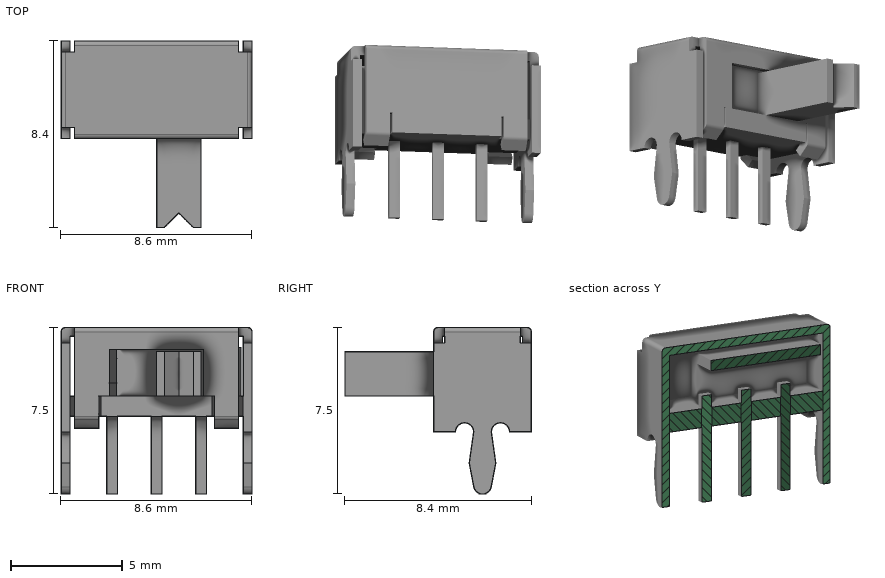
import cadquery as cq
import math


COVER_LENGTH = 8.6
COVER_WIDTH = 4.4
SHEET = 0.4
BEND_RADIUS = 0.2
CORNER_NOTCH_X = 0.6
CORNER_NOTCH_Y = 0.5
SHOULDER_DEPTH = 0.7
LONG_WALL_DEPTH = 4.0
END_WALL_DEPTH = 4.7
FLOOR_DEPTH = 3.1
WINDOW_LENGTH = 4.24
WINDOW_TOP_DEPTH = 1.0
BASE_NOTCH_LENGTH = 5.2

TAB_ANGLE = math.radians(48)
TAB_DEPTH = 4.54

TOTAL_HEIGHT = 7.5
LEG_RELIEF_RADIUS = 0.4
LEG_NECK_WIDTH = 2 * LEG_RELIEF_RADIUS
LEG_BULGE_WIDTH = 1.2
LEG_BULGE_DEPTH = 6.11
LEG_TIP_RADIUS = 0.4

BASE_TONGUE_LENGTH = 5.0
SIDE_CLEARANCE = 0.1

TERMINAL_COUNT = 3
TERMINAL_PITCH = 2.0
TERMINAL_WIDTH = 0.5
TERMINAL_THICKNESS = 0.3
TERMINAL_TOP_DEPTH = 2.5

SLIDER_X = TERMINAL_PITCH / 2
SLIDER_LENGTH = 5.6
SLIDER_TOP_DEPTH = 0.9
SLIDER_WALL = 0.5
KNOB_WIDTH = 2.0
KNOB_HEIGHT = 2.0
KNOB_REACH = 4.0
KNOB_V_SIZE = 0.65

HALF_LENGTH = COVER_LENGTH / 2
HALF_WIDTH = COVER_WIDTH / 2
INNER_LENGTH = COVER_LENGTH - 2 * SHEET
INNER_WIDTH = COVER_WIDTH - 2 * SHEET
LONG_WALL_LENGTH = COVER_LENGTH - 2 * CORNER_NOTCH_X
INSERT_WIDTH = INNER_WIDTH - 2 * SIDE_CLEARANCE
TAB_LENGTH = (LONG_WALL_LENGTH - BASE_NOTCH_LENGTH) / 2


def block(length, width, top_depth, bottom_depth, x=0.0, y=0.0):
    """Box centred on (x, y), between two depths below the top of the cover."""
    height = bottom_depth - top_depth
    return (
        cq.Workplane("XY")
        .box(length, width, height, centered=(True, True, False))
        .translate((x, y, -bottom_depth))
    )


def long_walls():
    """Top strip with the front and back walls bent down from it."""
    outside = block(LONG_WALL_LENGTH, COVER_WIDTH, 0, LONG_WALL_DEPTH)
    rounded = outside.edges("|X and >Z").fillet(BEND_RADIUS)
    channel = rounded.cut(block(LONG_WALL_LENGTH, INNER_WIDTH, SHEET, LONG_WALL_DEPTH))

    window = block(WINDOW_LENGTH, SHEET, WINDOW_TOP_DEPTH, FLOOR_DEPTH, y=(SHEET - COVER_WIDTH) / 2)
    base_notches = block(BASE_NOTCH_LENGTH, COVER_WIDTH, FLOOR_DEPTH, LONG_WALL_DEPTH)
    return channel.cut(window).cut(base_notches)


def end_wall_outline():
    """Outline of an end wall and its snap leg, extruded through the whole length."""
    upper_half = HALF_WIDTH - CORNER_NOTCH_Y
    neck_half = LEG_NECK_WIDTH / 2
    bulge_half = LEG_BULGE_WIDTH / 2
    relief_y = neck_half + LEG_RELIEF_RADIUS
    relief_outer_y = relief_y + LEG_RELIEF_RADIUS
    relief_top = LEG_RELIEF_RADIUS - END_WALL_DEPTH

    tip_z = LEG_TIP_RADIUS - TOTAL_HEIGHT
    rise = -LEG_BULGE_DEPTH - tip_z
    bulge_distance = math.hypot(bulge_half, rise)
    tangent_angle = math.acos(LEG_TIP_RADIUS / bulge_distance) - math.atan2(rise, bulge_half)
    tangent_y = LEG_TIP_RADIUS * math.cos(tangent_angle)
    tangent_z = tip_z - LEG_TIP_RADIUS * math.sin(tangent_angle)

    return (
        cq.Workplane("YZ")
        .moveTo(-upper_half, 0)
        .lineTo(upper_half, 0)
        .lineTo(upper_half, -SHOULDER_DEPTH)
        .lineTo(HALF_WIDTH, -SHOULDER_DEPTH)
        .lineTo(HALF_WIDTH, -END_WALL_DEPTH)
        .lineTo(relief_outer_y, -END_WALL_DEPTH)
        .threePointArc((relief_y, relief_top), (neck_half, -END_WALL_DEPTH))
        .lineTo(bulge_half, -LEG_BULGE_DEPTH)
        .lineTo(tangent_y, tangent_z)
        .threePointArc((0, -TOTAL_HEIGHT), (-tangent_y, tangent_z))
        .lineTo(-bulge_half, -LEG_BULGE_DEPTH)
        .lineTo(-neck_half, -END_WALL_DEPTH)
        .threePointArc((-relief_y, relief_top), (-relief_outer_y, -END_WALL_DEPTH))
        .lineTo(-HALF_WIDTH, -END_WALL_DEPTH)
        .lineTo(-HALF_WIDTH, -SHOULDER_DEPTH)
        .lineTo(-upper_half, -SHOULDER_DEPTH)
        .close()
        .extrude(HALF_LENGTH, both=True)
    )


def end_walls():
    """Top strip with the two end walls bent down from it."""
    outside = block(COVER_LENGTH, COVER_WIDTH, 0, TOTAL_HEIGHT)
    rounded = outside.edges("|Y and >Z").fillet(BEND_RADIUS)
    channel = rounded.cut(block(INNER_LENGTH, COVER_WIDTH, SHEET, TOTAL_HEIGHT))
    return channel.intersect(end_wall_outline())


def front_clinch_tab():
    """Tab at the left end of the front wall, bent inward under the base."""
    bend_y = BEND_RADIUS - HALF_WIDTH
    inner_offset = SHEET - BEND_RADIUS

    def offset_point(distance, angle):
        """Point at a distance from the bend axis, along the outward normal at a bend angle."""
        return (
            bend_y - distance * math.cos(angle),
            -LONG_WALL_DEPTH - distance * math.sin(angle),
        )

    bend_end = offset_point(BEND_RADIUS, TAB_ANGLE)
    drop = TAB_DEPTH + bend_end[1]
    tip_outer = (bend_end[0] + drop * math.tan(TAB_ANGLE), -TAB_DEPTH)
    tip_inner = (
        tip_outer[0] + SHEET * math.cos(TAB_ANGLE),
        tip_outer[1] + SHEET * math.sin(TAB_ANGLE),
    )
    corner_rise = inner_offset * math.tan(TAB_ANGLE / 2)
    inner_corner = (-INNER_WIDTH / 2, corner_rise - LONG_WALL_DEPTH)
    return (
        cq.Workplane("YZ", origin=(-LONG_WALL_LENGTH / 2, 0, 0))
        .moveTo(*inner_corner)
        .lineTo(-HALF_WIDTH, inner_corner[1])
        .lineTo(-HALF_WIDTH, -LONG_WALL_DEPTH)
        .threePointArc(offset_point(BEND_RADIUS, TAB_ANGLE / 2), bend_end)
        .lineTo(*tip_outer)
        .lineTo(*tip_inner)
        .close()
        .extrude(TAB_LENGTH)
    )


def make_cover():
    cover = long_walls().union(end_walls())
    left_tab = front_clinch_tab()
    for tab in (left_tab, left_tab.mirror("YZ")):
        cover = cover.union(tab).union(tab.mirror("XZ"))
    return cover


def make_terminal(x):
    return block(TERMINAL_WIDTH, TERMINAL_THICKNESS, TERMINAL_TOP_DEPTH, TOTAL_HEIGHT, x=x)


def make_base(terminals):
    """Plate between the cover walls, with tongues in the wall notches and terminal slots."""
    plate = block(INNER_LENGTH, INSERT_WIDTH, FLOOR_DEPTH, LONG_WALL_DEPTH)
    base = plate.union(block(BASE_TONGUE_LENGTH, COVER_WIDTH, FLOOR_DEPTH, LONG_WALL_DEPTH))
    for terminal in terminals:
        base = base.cut(terminal)
    return base


def make_slider():
    """Carriage straddling the terminals, with a knob through the front window."""
    carriage = block(SLIDER_LENGTH, INSERT_WIDTH, SLIDER_TOP_DEPTH, FLOOR_DEPTH, x=SLIDER_X)
    channel_width = INSERT_WIDTH - 2 * SLIDER_WALL
    channel_top = SLIDER_TOP_DEPTH + SLIDER_WALL
    channel = block(SLIDER_LENGTH, channel_width, channel_top, FLOOR_DEPTH, x=SLIDER_X)

    knob_tip_y = -HALF_WIDTH - KNOB_REACH
    carriage_front_y = -INSERT_WIDTH / 2
    knob_left = SLIDER_X - KNOB_WIDTH / 2
    knob_right = SLIDER_X + KNOB_WIDTH / 2
    knob = (
        cq.Workplane("XY", origin=(0, 0, -FLOOR_DEPTH))
        .moveTo(knob_left, carriage_front_y)
        .lineTo(knob_left, knob_tip_y)
        .lineTo(SLIDER_X - KNOB_V_SIZE, knob_tip_y)
        .lineTo(SLIDER_X, knob_tip_y + KNOB_V_SIZE)
        .lineTo(SLIDER_X + KNOB_V_SIZE, knob_tip_y)
        .lineTo(knob_right, knob_tip_y)
        .lineTo(knob_right, carriage_front_y)
        .close()
        .extrude(KNOB_HEIGHT)
    )
    return carriage.cut(channel).union(knob)


cover = make_cover()
terminals = [
    make_terminal((index - (TERMINAL_COUNT - 1) / 2) * TERMINAL_PITCH)
    for index in range(TERMINAL_COUNT)
]
base = make_base(terminals)
slider = make_slider()

result = cq.Compound.makeCompound(
    [cover.val(), base.val(), slider.val(), *[terminal.val() for terminal in terminals]]
)